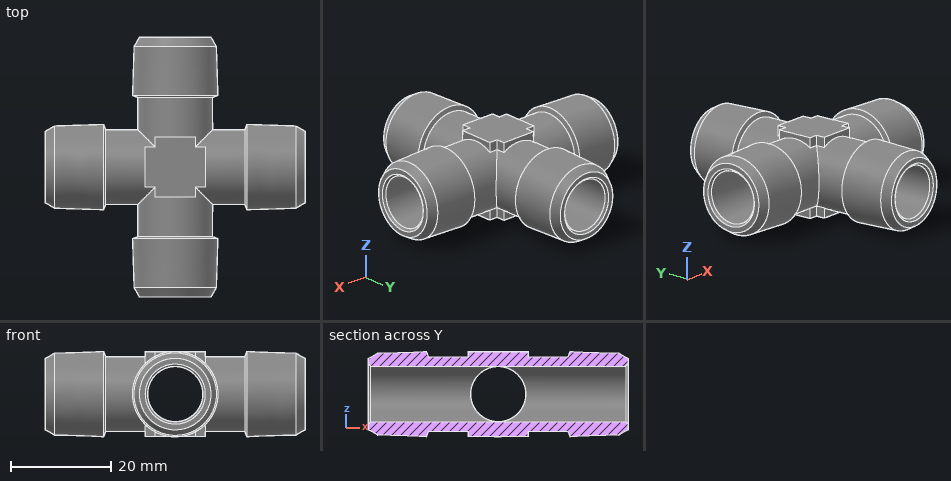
import cadquery as cq
import math

arm_length = 26.0
neck_diameter = 15.0
bore_diameter = 11.0
bore_chamfer = 0.5

end_length = 12.1
taper_ratio = 1 / 16
root_diameter = 17.12
root_cone_length = 0.4
tip_chamfer_length = 1.9
tip_chamfer_angle = 30.0

pad_span = 12.0
pad_width = 8.0
pad_height = 17.0

neck_radius = neck_diameter / 2
bore_radius = bore_diameter / 2
root_radius = root_diameter / 2
neck_end = arm_length - end_length
root_position = neck_end + root_cone_length
tip_position = arm_length - tip_chamfer_length
tip_radius = root_radius - (tip_position - root_position) * taper_ratio / 2
face_radius = tip_radius - tip_chamfer_length * math.tan(math.radians(tip_chamfer_angle))


def revolve_both_ways(half_outline):
    """Mirror (position, radius) points to the -X side and revolve the outline about X."""
    mirrored_outline = [(-position, radius) for position, radius in reversed(half_outline)]
    outline = cq.Workplane("XY").polyline(mirrored_outline + half_outline).close()
    return outline.revolve(360, (0, 0, 0), (1, 0, 0))


def make_run():
    """Solid straight run along X with a tapered end at each side."""
    return revolve_both_ways([
        (neck_end, neck_radius),
        (root_position, root_radius),
        (tip_position, tip_radius),
        (arm_length, face_radius),
        (arm_length, 0),
    ])


def make_run_bore():
    """Through bore along X with a chamfered mouth at each side."""
    return revolve_both_ways([
        (arm_length - bore_chamfer, bore_radius),
        (arm_length, bore_radius + bore_chamfer),
        (arm_length, 0),
    ])


def make_pads():
    """Plus-shaped block through the hub that forms the upper and lower flats."""
    along_x = cq.Workplane("XY").box(pad_span, pad_width, pad_height)
    along_y = cq.Workplane("XY").box(pad_width, pad_span, pad_height)
    return along_x.union(along_y)


def turn_to_y(run):
    """Turn a run from the X axis to the Y axis."""
    return run.rotate((0, 0, 0), (0, 0, 1), 90)


run_x = make_run()
bore_x = make_run_bore()
body = run_x.union(turn_to_y(run_x)).union(make_pads())
result = body.cut(bore_x).cut(turn_to_y(bore_x))